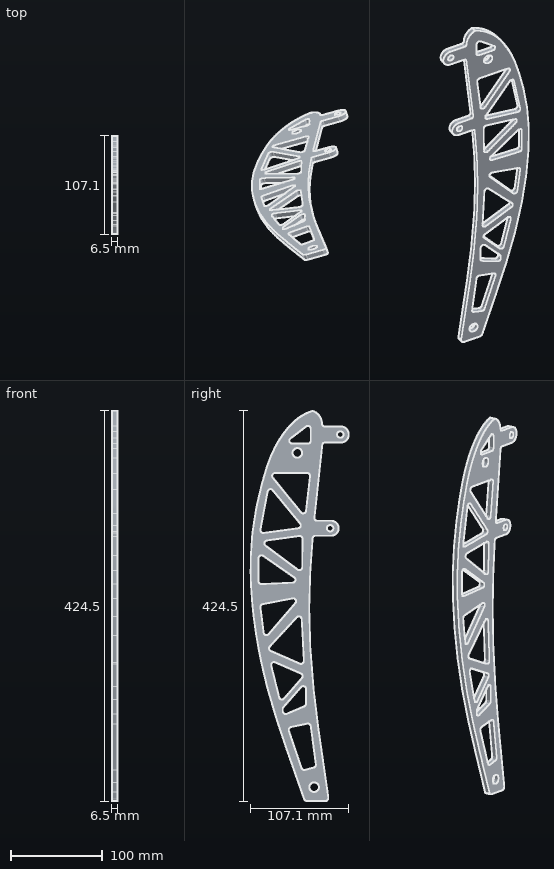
import cadquery as cq

THICKNESS = 6.5
HEIGHT = 424.5

FOOT_BACK_Y = 85.5
FOOT_FRONT_Y = 59.0
FOOT_RADIUS = 4.0

BACK_TOP = (78.5, 390.5)
BACK_WAIST = (64.0, 220.5)
BACK_EDGE_POINTS = [(79.8, 38.0), (70.5, 106.0), BACK_WAIST, (68.0, 288.5)]
FRONT_BELLY = (0.0, 248.3)
FRONT_EDGE_POINTS = [
    (51.5, 416.0),
    (35.5, 399.5),
    (22.5, 376.0),
    (12.5, 345.0),
    (1.5, 288.5),
    FRONT_BELLY,
    (6.0, 181.5),
    (19.0, 120.0),
    (38.0, 59.5),
]

TIP_PEAK = (67.5, HEIGHT)
TIP_SHOULDER = (74.3, 419.5)
TIP_BASE = (77.2, 405.3)

TABS = [(107.0, 398.5, 18.0), (96.0, 296.5, 16.5)]
TAB_ROOT_Y = 59.5
TAB_ROOT_RADIUS = 2.5
TAB_HOLE_DIAMETER = 7.0
TAB_HOLE_INSET = 9.5

BODY_HOLES = [(51.0, 378.5), (69.0, 15.3)]
BODY_HOLE_DIAMETER = 10.0

WINDOW_RADIUS = 3.0
WINDOWS = [
    [(65.5, 388.7), (65.5, 410.8), (36.5, 388.7)],
    [(65.0, 356.5), (59.5, 308.5), (20.5, 356.5)],
    [(20.0, 343.0), (10.0, 291.0), (57.5, 297.5)],
    [(56.5, 288.5), (56.0, 248.3), (10.5, 282.0)],
    [(9.0, 270.0), (9.0, 236.0), (54.7, 238.0)],
    [(10.5, 213.5), (15.3, 176.5), (54.5, 222.0)],
    [(55.0, 205.0), (58.0, 147.5), (18.2, 165.0)],
    [(21.2, 153.0), (32.5, 107.5), (58.5, 137.0)],
    [(60.3, 130.0), (60.3, 104.0), (35.2, 93.5), (35.2, 101.5)],
    [(40.7, 79.8), (56.5, 33.5), (71.5, 37.5), (65.0, 85.0)],
]


def face_plane():
    """Workplane on the -X face of the plate."""
    return cq.Workplane("YZ").workplane(offset=-THICKNESS / 2)


def make_body():
    """Curved body with its tip and foot."""
    outline = (
        face_plane()
        .moveTo(FOOT_FRONT_Y, 0)
        .lineTo(FOOT_BACK_Y, 0)
        .spline(BACK_EDGE_POINTS + [BACK_TOP], includeCurrent=True)
        .lineTo(*TIP_BASE)
        .threePointArc(TIP_SHOULDER, TIP_PEAK)
        .spline(FRONT_EDGE_POINTS + [(FOOT_FRONT_Y, 0)], includeCurrent=True)
        .close()
    )
    return outline.extrude(THICKNESS).faces("<Z").edges("|X").fillet(FOOT_RADIUS)


def make_tab(end_y, centre_z, width):
    """Straight tab with a fully rounded end."""
    radius = width / 2
    straight_end_y = end_y - radius
    outline = (
        face_plane()
        .moveTo(TAB_ROOT_Y, centre_z - radius)
        .lineTo(straight_end_y, centre_z - radius)
        .threePointArc((end_y, centre_z), (straight_end_y, centre_z + radius))
        .lineTo(TAB_ROOT_Y, centre_z + radius)
        .close()
    )
    return outline.extrude(THICKNESS)


def round_tab_roots(plate, end_y, centre_z, width):
    """Fillet the two inside corners where a tab meets the body."""
    margin = width / 4
    corner_zone = cq.selectors.BoxSelector(
        (-THICKNESS / 4, TAB_ROOT_Y, centre_z - width / 2 - margin),
        (THICKNESS / 4, end_y - width / 2 - margin, centre_z + width / 2 + margin),
    )
    return plate.edges(corner_zone).fillet(TAB_ROOT_RADIUS)


def make_window(corners):
    """Cutter for one truss window with rounded corners."""
    outline = face_plane().polyline(corners).close()
    return outline.extrude(THICKNESS).edges("|X").fillet(WINDOW_RADIUS)


def make_holes(centres, diameter):
    """Cutters for round through holes."""
    return face_plane().pushPoints(centres).circle(diameter / 2).extrude(THICKNESS)


result = make_body()
for tab in TABS:
    result = result.union(make_tab(*tab))
for tab in TABS:
    result = round_tab_roots(result, *tab)

for window_corners in WINDOWS:
    result = result.cut(make_window(window_corners))

tab_hole_centres = [(end_y - TAB_HOLE_INSET, centre_z) for end_y, centre_z, _ in TABS]
result = result.cut(make_holes(tab_hole_centres, TAB_HOLE_DIAMETER))
result = result.cut(make_holes(BODY_HOLES, BODY_HOLE_DIAMETER))